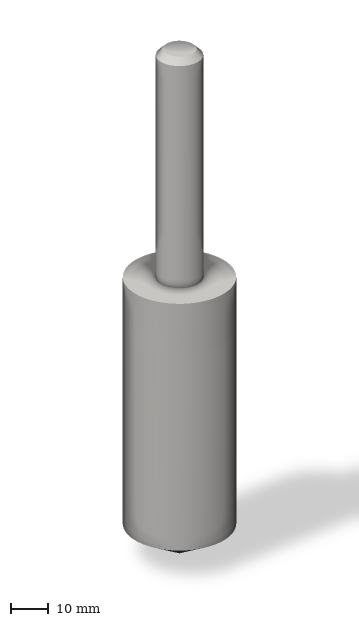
import cadquery as cq

total_height = 152.4
body_diameter = 30.2
shank_diameter = 12.6

cone_height = 9.0
barrel_height = 59.6
collar_height = 15.0

bevel_height = 1.8
bevel_width = 1.8

body_radius = body_diameter / 2
shank_radius = shank_diameter / 2
barrel_top = cone_height + barrel_height
collar_top = barrel_top + collar_height


def make_pointed_barrel():
    """Solid cylinder with a conical point at its lower end."""
    return (
        cq.Workplane("XZ")
        .lineTo(body_radius, cone_height)
        .lineTo(body_radius, barrel_top)
        .lineTo(0, barrel_top)
        .close()
        .revolve(360, (0, 0, 0), (0, 1, 0))
    )


def make_collared_shank():
    """Collar resting on the barrel, with a slim bevelled shank above it."""
    return (
        cq.Workplane("XZ")
        .moveTo(0, barrel_top)
        .lineTo(body_radius, barrel_top)
        .lineTo(body_radius, collar_top)
        .lineTo(shank_radius, collar_top)
        .lineTo(shank_radius, total_height - bevel_height)
        .lineTo(shank_radius - bevel_width, total_height)
        .lineTo(0, total_height)
        .close()
        .revolve(360, (0, 0, 0), (0, 1, 0))
    )


pointed_barrel = make_pointed_barrel()
collared_shank = make_collared_shank()

result = cq.Compound.makeCompound([pointed_barrel.val(), collared_shank.val()])